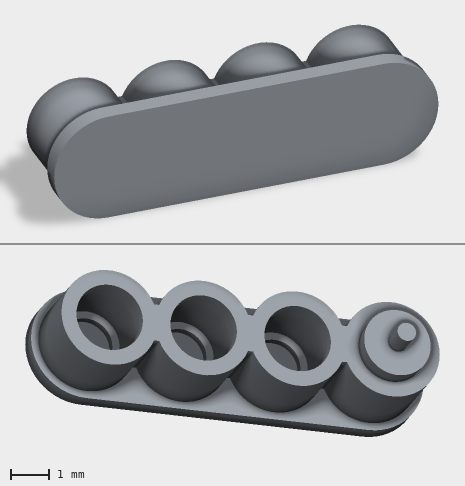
import cadquery as cq

overall_depth = 3.8
overall_length = 10.62
plate_height = 3.0
plate_thickness = 0.5

socket_count = 4
socket_diameter = 2.6
socket_length = 2.0
socket_pitch = (overall_length - plate_height) / (socket_count - 1)
web_height = 1.0

bore_diameter = 1.8
recess_diameter = 1.4
recess_depth = plate_thickness / 2

shoulder_projection = 0.5
tip_diameter = 0.5

plate_back = overall_depth / 2
plate_front = plate_back - plate_thickness
socket_face = plate_front - socket_length
shoulder_face = socket_face - shoulder_projection
tip_end = -overall_depth / 2
recess_floor = plate_front + recess_depth

row_half_span = socket_pitch * (socket_count - 1) / 2
socket_centers = [index * socket_pitch - row_half_span for index in range(socket_count)]
pin_center = socket_centers[0]


def cylinder(y, diameter, x_start, x_end):
    """Cylinder along X, centred at the given Y."""
    return (
        cq.Workplane("YZ", origin=(x_start, y, 0))
        .circle(diameter / 2)
        .extrude(x_end - x_start)
    )


def stepped_plug(y, outer_face):
    """Shape filling a bore and its recess, starting at outer_face."""
    wide = cylinder(y, bore_diameter, outer_face, plate_front)
    narrow = cylinder(y, recess_diameter, plate_front, recess_floor)
    return wide.union(narrow)


def make_housing():
    """Rounded back plate carrying a row of sockets joined by flat webs."""
    body = (
        cq.Workplane("YZ", origin=(plate_front, 0, 0))
        .slot2D(overall_length, plate_height)
        .extrude(plate_thickness)
    )
    web = (
        cq.Workplane("YZ", origin=(socket_face, 0, 0))
        .rect(2 * row_half_span, web_height)
        .extrude(socket_length)
    )
    body = body.union(web)
    for y in socket_centers:
        body = body.union(cylinder(y, socket_diameter, socket_face, plate_front))
    for y in socket_centers:
        body = body.cut(stepped_plug(y, socket_face))
    return body


def make_pin():
    """Pin seated in the end socket, with a projecting shoulder and a thin tip."""
    tip = cylinder(pin_center, tip_diameter, tip_end, shoulder_face)
    return stepped_plug(pin_center, shoulder_face).union(tip)


housing = make_housing()
pin = make_pin()

result = cq.Compound.makeCompound([housing.val(), pin.val()])